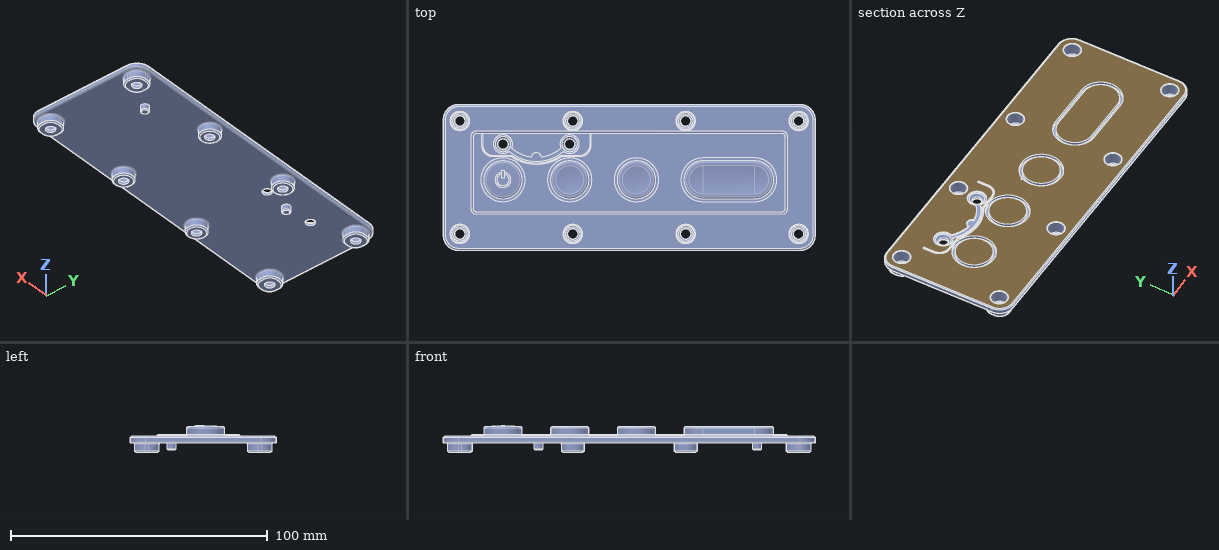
import cadquery as cq

PLATE_X = 145.0
PLATE_Y = 57.0
PLATE_TOP = 2.75
PLATE_CORNER_RADIUS = 6.0
EDGE_CHAMFER_WIDTH = 0.9
EDGE_CHAMFER_HEIGHT = 0.6

BEAD_X = 122.3
BEAD_Y = 31.5
BEAD_CENTER_Y = 1.9
BEAD_RADIUS = 0.47
BEAD_CORNER_RADIUS = 1.6

POST_ROOT = PLATE_TOP / 2
BOSS_BOTTOM = -3.7
BOSS_DIAMETER = 9.0
CORNER_BOSS_SIDE = 9.7
CORNER_BOSS_RADIUS = 4.25
BOSS_CHAMFER = 0.6
BOSS_ROOT_FILLET = 0.4
SEAM_TOLERANCE = 0.05
BOSS_PITCH_X = 44.0
BOSS_Y = 22.0
OUTER_BOSS_X = 1.5 * BOSS_PITCH_X
INNER_BOSS_X = 0.5 * BOSS_PITCH_X
SCREW_HOLE_DIAMETER = 4.0
COUNTERBORE_DIAMETER = 6.8
COUNTERBORE_FLOOR_DIAMETER = 5.6
COUNTERBORE_RIM_CHAMFER = 0.4
COUNTERBORE_FLOOR = -2.5

PIN_DIAMETER = 3.6
PIN_BOTTOM = -2.7
PIN_CHAMFER = 0.4
PIN_Y = 12.4
PIN_XS = (-35.4, 49.8)

BUTTON_RADIUS = 7.45
BUTTON_TOP = 6.4
BUTTON_EDGE_FILLET = 0.8
BUTTON_PITCH = 26.0
BUTTON_Y = -0.9
POWER_X = -49.2
ROUND_BUTTON_XS = (POWER_X + BUTTON_PITCH, POWER_X + 2 * BUTTON_PITCH)
PILL_LEFT_X = POWER_X + 3 * BUTTON_PITCH
PILL_SPAN = 20.0
DISH_RADIUS = 5.5
DISH_DEPTH = 0.5
DOME_HEIGHT = 0.25
MOAT_WIDTH = 1.15
MOAT_DEPTH = 1.5

SYMBOL_TOP = 6.83
RING_OUTER_RADIUS = 3.0
RING_INNER_RADIUS = 2.3
RING_TOP = 6.7
BAR_WIDTH = 1.0
BAR_LENGTH = 3.0
BAR_CENTER_Y = BUTTON_Y + 2.2

STRAP_HOLE_PITCH = BUTTON_PITCH
STRAP_CENTER_X = POWER_X + STRAP_HOLE_PITCH / 2
STRAP_HOLE_Y = 13.0
STRAP_HOLE_DIAMETER = 4.0
LUG_RADIUS = 3.7
LUG_COUNTERSINK_RADIUS = 3.0
STRAP_ARC_CENTER_Y = 22.4
STRAP_INNER_RADIUS = 14.6
STRAP_OUTER_RADIUS = 16.2
STRAP_BUMP_RADIUS = 1.9
STRAP_DEPTH = 0.7
FRAME_HALF_WIDTH = 21.3
FRAME_BOTTOM_Y = 8.1
FRAME_CORNER_RADIUS = 4.5
FRAME_BULGE_RADIUS = 17.3
FRAME_GROOVE_WIDTH = 0.45
FRAME_GROOVE_DEPTH = 0.5


def block(center_x, center_y, size_x, size_y, bottom, top):
    """Upright box between two heights."""
    sketch = cq.Workplane("XY", origin=(center_x, center_y, bottom))
    return sketch.rect(size_x, size_y).extrude(top - bottom)


def cylinder(x, y, radius, bottom, top):
    """Upright cylinder between two heights."""
    return cq.Workplane("XY", origin=(x, y, bottom)).circle(radius).extrude(top - bottom)


def cone(x, y, bottom_radius, top_radius, bottom, top):
    """Upright truncated cone between two heights."""
    solid = cq.Solid.makeCone(
        bottom_radius, top_radius, top - bottom, cq.Vector(x, y, bottom), cq.Vector(0, 0, 1)
    )
    return cq.Workplane(solid)


def plate_body():
    """Rounded rectangular plate with a shallow bevel around its top."""
    plate = block(0, 0, PLATE_X, PLATE_Y, 0, PLATE_TOP).edges("|Z").fillet(PLATE_CORNER_RADIUS)
    return plate.faces(">Z").edges().chamfer(EDGE_CHAMFER_HEIGHT, EDGE_CHAMFER_WIDTH)


def bead():
    """Round cord laid along a rounded rectangle, its lower half sunk in the plate."""
    outline = block(0, BEAD_CENTER_Y, BEAD_X, BEAD_Y, PLATE_TOP, PLATE_TOP + BEAD_RADIUS)
    path = outline.edges("|Z").fillet(BEAD_CORNER_RADIUS).faces("<Z").wires()
    section = cq.Workplane("YZ", origin=(0, BEAD_CENTER_Y - BEAD_Y / 2, PLATE_TOP))
    return section.circle(BEAD_RADIUS).sweep(path)


def bosses():
    """Square-cornered bosses at the plate corners and round ones between them."""
    posts = cq.Workplane("XY")
    for y in (-BOSS_Y, BOSS_Y):
        for x in (-OUTER_BOSS_X, OUTER_BOSS_X):
            post = block(x, y, CORNER_BOSS_SIDE, CORNER_BOSS_SIDE, BOSS_BOTTOM, POST_ROOT)
            post = post.edges("|Z").fillet(CORNER_BOSS_RADIUS)
            posts = posts.add(post.faces("<Z").edges().chamfer(BOSS_CHAMFER))
        for x in (-INNER_BOSS_X, INNER_BOSS_X):
            post = cylinder(x, y, BOSS_DIAMETER / 2, BOSS_BOTTOM, POST_ROOT)
            posts = posts.add(post.faces("<Z").edges().chamfer(BOSS_CHAMFER))
    return posts.combine()


def boss_roots():
    """Selects the edges where the bosses meet the underside of the plate."""
    reach_x = OUTER_BOSS_X + CORNER_BOSS_SIDE / 2 + BOSS_ROOT_FILLET
    near_y = BOSS_Y - CORNER_BOSS_SIDE / 2 - BOSS_ROOT_FILLET
    far_y = BOSS_Y + CORNER_BOSS_SIDE / 2 + BOSS_ROOT_FILLET
    front = cq.selectors.BoxSelector((-reach_x, -far_y, -SEAM_TOLERANCE), (reach_x, -near_y, SEAM_TOLERANCE))
    back = cq.selectors.BoxSelector((-reach_x, near_y, -SEAM_TOLERANCE), (reach_x, far_y, SEAM_TOLERANCE))
    return front + back


def pins():
    posts = cq.Workplane("XY")
    for x in PIN_XS:
        post = cylinder(x, PIN_Y, PIN_DIAMETER / 2, PIN_BOTTOM, POST_ROOT)
        posts = posts.add(post.faces("<Z").edges().chamfer(PIN_CHAMFER))
    return posts.combine()


def screw_holes():
    """Deep counterbored holes with tapered walls and a bevelled rim, one through each boss."""
    floor_radius = COUNTERBORE_FLOOR_DIAMETER / 2
    bore_radius = COUNTERBORE_DIAMETER / 2
    rim_radius = bore_radius + COUNTERBORE_RIM_CHAMFER
    rim_bottom = PLATE_TOP - COUNTERBORE_RIM_CHAMFER
    holes = cq.Workplane("XY")
    for y in (-BOSS_Y, BOSS_Y):
        for x in (-OUTER_BOSS_X, -INNER_BOSS_X, INNER_BOSS_X, OUTER_BOSS_X):
            hole = cylinder(x, y, SCREW_HOLE_DIAMETER / 2, BOSS_BOTTOM, PLATE_TOP)
            hole = hole.union(cone(x, y, floor_radius, bore_radius, COUNTERBORE_FLOOR, rim_bottom))
            hole = hole.union(cone(x, y, bore_radius, rim_radius, rim_bottom, PLATE_TOP))
            holes = holes.add(hole)
    return holes.combine()


def pill(left_x, span, radius, bottom, top):
    """Upright stadium shape running from left_x to left_x + span."""
    body = cylinder(left_x, BUTTON_Y, radius, bottom, top)
    if span > 0:
        body = body.union(cylinder(left_x + span, BUTTON_Y, radius, bottom, top))
        middle = block(left_x + span / 2, BUTTON_Y, span, 2 * radius, bottom, top)
        body = body.union(middle)
    return body


def moat(left_x, span):
    """Clearance around a button, cut full and later filled by the button."""
    return pill(left_x, span, BUTTON_RADIUS + MOAT_WIDTH, PLATE_TOP - MOAT_DEPTH, PLATE_TOP)


def dish(left_x, span):
    """Ball-shaped hollow, stretched along X over the span."""
    ball_radius = (DISH_RADIUS**2 + DISH_DEPTH**2) / (2 * DISH_DEPTH)
    ball_z = BUTTON_TOP - DISH_DEPTH + ball_radius
    ball = cq.Workplane("XY", origin=(left_x, BUTTON_Y, ball_z)).sphere(ball_radius)
    ball = ball.intersect(cylinder(left_x, BUTTON_Y, DISH_RADIUS, 0, BUTTON_TOP))
    if span == 0:
        return ball
    trough = cq.Workplane("YZ", origin=(left_x, BUTTON_Y, ball_z)).circle(ball_radius).extrude(span)
    trough_limit = block(left_x + span / 2, BUTTON_Y, span, 2 * DISH_RADIUS, 0, BUTTON_TOP)
    return ball.union(trough.intersect(trough_limit)).union(ball.translate((span, 0, 0)))


def dished_button(left_x, span):
    button = pill(left_x, span, BUTTON_RADIUS, PLATE_TOP - MOAT_DEPTH, BUTTON_TOP)
    button = button.faces(">Z").edges().fillet(BUTTON_EDGE_FILLET)
    return button.cut(dish(left_x, span))


def power_button():
    """Round button with a domed top carrying the raised power symbol."""
    base = PLATE_TOP - MOAT_DEPTH
    button = cylinder(POWER_X, BUTTON_Y, BUTTON_RADIUS, base, BUTTON_TOP)
    button = button.faces(">Z").edges().fillet(BUTTON_EDGE_FILLET)

    dome_edge = BUTTON_RADIUS - BUTTON_EDGE_FILLET
    ball_radius = (dome_edge**2 + DOME_HEIGHT**2) / (2 * DOME_HEIGHT)
    ball_z = BUTTON_TOP + DOME_HEIGHT - ball_radius
    dome = cq.Workplane("XY", origin=(POWER_X, BUTTON_Y, ball_z)).sphere(ball_radius)
    dome = dome.intersect(cylinder(POWER_X, BUTTON_Y, dome_edge, base, SYMBOL_TOP))

    ring = cylinder(POWER_X, BUTTON_Y, RING_OUTER_RADIUS, BUTTON_TOP, RING_TOP)
    ring = ring.cut(cylinder(POWER_X, BUTTON_Y, RING_INNER_RADIUS, BUTTON_TOP, RING_TOP))
    bar = block(POWER_X, BAR_CENTER_Y, BAR_WIDTH, BAR_LENGTH, BUTTON_TOP, SYMBOL_TOP)
    return button.union(dome).union(ring).union(bar)


def strap_recess():
    """Curved recess with a central bump, ending in two round lugs with countersunk holes."""
    floor = PLATE_TOP - STRAP_DEPTH
    recess = cylinder(STRAP_CENTER_X, STRAP_ARC_CENTER_Y, STRAP_OUTER_RADIUS, floor, PLATE_TOP)
    recess = recess.cut(
        cylinder(STRAP_CENTER_X, STRAP_ARC_CENTER_Y, STRAP_INNER_RADIUS, floor, PLATE_TOP)
    )
    reach = STRAP_ARC_CENTER_Y - STRAP_HOLE_Y + STRAP_OUTER_RADIUS
    keep_center_y = STRAP_HOLE_Y - reach / 2
    recess = recess.intersect(
        block(STRAP_CENTER_X, keep_center_y, STRAP_HOLE_PITCH, reach, floor, PLATE_TOP)
    )
    bump_y = STRAP_ARC_CENTER_Y - STRAP_INNER_RADIUS
    recess = recess.union(cylinder(STRAP_CENTER_X, bump_y, STRAP_BUMP_RADIUS, floor, PLATE_TOP))
    recess = recess.intersect(
        cylinder(STRAP_CENTER_X, STRAP_ARC_CENTER_Y, STRAP_OUTER_RADIUS, floor, PLATE_TOP)
    )
    hole_radius = STRAP_HOLE_DIAMETER / 2
    sink_bottom = floor - (LUG_COUNTERSINK_RADIUS - hole_radius)
    for side in (-1, 1):
        x = STRAP_CENTER_X + side * STRAP_HOLE_PITCH / 2
        recess = recess.union(cylinder(x, STRAP_HOLE_Y, LUG_RADIUS, floor, PLATE_TOP))
        recess = recess.union(
            cone(x, STRAP_HOLE_Y, hole_radius, LUG_COUNTERSINK_RADIUS, sink_bottom, floor)
        )
        recess = recess.union(cylinder(x, STRAP_HOLE_Y, hole_radius, 0, floor))
    return recess


def frame_area(inset):
    """Area around the strap: rounded rectangle below the bead plus a curved bulge."""
    bottom = PLATE_TOP - FRAME_GROOVE_DEPTH
    top_y = BEAD_CENTER_Y + BEAD_Y / 2 - BEAD_RADIUS
    low_y = FRAME_BOTTOM_Y + inset
    area = block(
        STRAP_CENTER_X,
        (top_y + low_y) / 2,
        2 * (FRAME_HALF_WIDTH - inset),
        top_y - low_y,
        bottom,
        PLATE_TOP,
    )
    area = area.edges("|Z and <Y").fillet(FRAME_CORNER_RADIUS - inset)
    bulge = cylinder(
        STRAP_CENTER_X, STRAP_ARC_CENTER_Y, FRAME_BULGE_RADIUS - inset, bottom, PLATE_TOP
    )
    bulge_limit = block(
        STRAP_CENTER_X,
        top_y - FRAME_BULGE_RADIUS,
        2 * FRAME_HALF_WIDTH,
        2 * FRAME_BULGE_RADIUS,
        bottom,
        PLATE_TOP,
    )
    return area.union(bulge.intersect(bulge_limit))


def frame_groove():
    return frame_area(0).cut(frame_area(FRAME_GROOVE_WIDTH))


result = plate_body().union(bosses()).edges(boss_roots()).fillet(BOSS_ROOT_FILLET)
result = result.union(bead()).union(pins())
result = result.cut(screw_holes()).cut(frame_groove()).cut(strap_recess())

button_places = [(POWER_X, 0)]
for button_x in ROUND_BUTTON_XS:
    button_places.append((button_x, 0))
button_places.append((PILL_LEFT_X, PILL_SPAN))

for place in button_places:
    result = result.cut(moat(*place))
result = result.union(power_button())
for place in button_places[1:]:
    result = result.union(dished_button(*place))